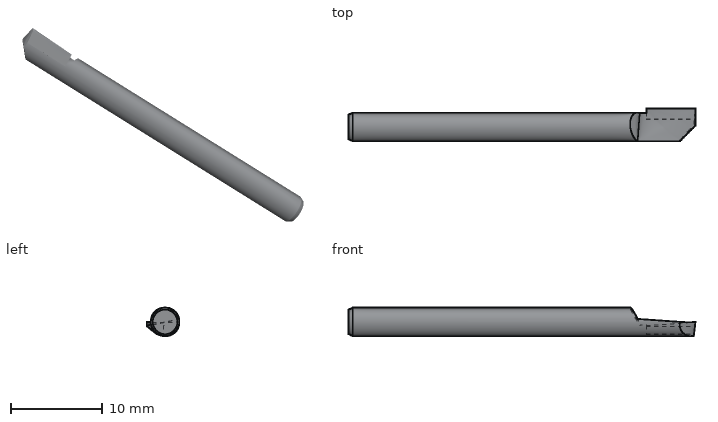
import cadquery as cq

length = 38.1
shank_diameter = 3.15
shank_radius = shank_diameter / 2
overall_width = 3.62

lead_in_length = 0.5
lead_in_depth = 0.23

lip_start = 32.7
lip_reach = overall_width - shank_radius
lip_bottom = -0.45
lip_root_y = 0.88
lip_root_z = -1.37

front_wall_top_x = 31.13
back_wall_top_x = 30.67
front_floor_start_x = 31.75
back_floor_start_x = 32.0
front_floor_start_z = 0.35
front_floor_end_z = -0.1
back_floor_start_z = -0.45
back_floor_end_z = 0.0

nose_corner_y = 0.15
bevel_run = nose_corner_y + shank_radius
relief_angle = 7.0

clearance = 1.9


def make_shank():
    profile = [
        (0, 0),
        (0, shank_radius - lead_in_depth),
        (lead_in_length, shank_radius),
        (length, shank_radius),
        (length, 0),
    ]
    return cq.Workplane("XY").polyline(profile).close().revolve(360, (0, 0, 0), (1, 0, 0))


def make_lip():
    profile = [
        (0, 0),
        (0, front_floor_start_z),
        (lip_reach, front_floor_start_z),
        (lip_reach, lip_bottom),
        (lip_root_y, lip_root_z),
    ]
    lip = cq.Workplane("YZ", origin=(lip_start, 0, 0)).polyline(profile).close()
    return lip.extrude(length - lip_start)


def relief_section(y, wall_top_x, floor_start_x, floor_start_z, floor_end_z):
    """Section of the removed upper half in a plane across Y."""
    points = [
        (floor_start_x, y, floor_start_z),
        (length, y, floor_end_z),
        (length, y, shank_radius),
        (wall_top_x, y, shank_radius),
    ]
    return cq.Wire.makePolygon([cq.Vector(*p) for p in points], close=True)


def make_rake_cutter():
    """Ruled solid whose floor twists gently from the front side to the back."""
    front = relief_section(
        -shank_radius, front_wall_top_x, front_floor_start_x, front_floor_start_z, front_floor_end_z
    )
    back = relief_section(
        lip_reach, back_wall_top_x, back_floor_start_x, back_floor_start_z, back_floor_end_z
    )
    return cq.Workplane(cq.Solid.makeLoft([front, back], True))


def make_nose_envelope():
    """Tapered block whose end and bevel lean back below the rake floor."""
    outer_y = lip_reach + clearance
    bevel_end_x = length - bevel_run - clearance
    bevel_end_y = -shank_radius - clearance
    outline = [
        (-clearance, outer_y),
        (length, outer_y),
        (length, nose_corner_y),
        (bevel_end_x, bevel_end_y),
        (-clearance, bevel_end_y),
    ]
    lower = cq.Workplane("XY").polyline(outline).close().extrude(-shank_diameter, taper=relief_angle)
    upper = cq.Workplane("XY").polyline(outline).close().extrude(shank_diameter)
    return lower.union(upper)


body = make_shank().union(make_lip())
result = body.cut(make_rake_cutter()).intersect(make_nose_envelope())